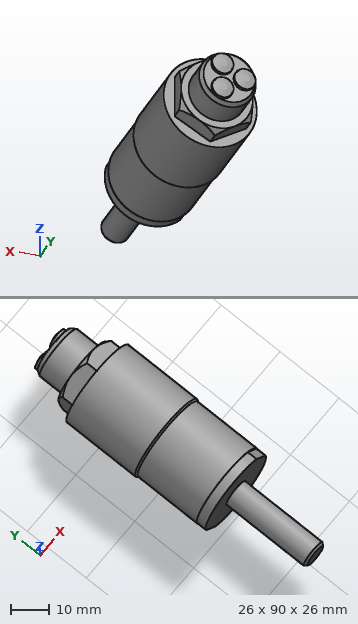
import cadquery as cq
import math

total_length = 90.0

rod_radius = 4.0
rod_length = 27.0
rod_chamfer = 0.7

cap_radius = 12.5
cap_length = 3.0
cap_flat_offset = 12.0
cap_flat_angle = 30.0

sleeve_radius = 12.6
barrel_diameter = 26.0
barrel_radius = barrel_diameter / 2
barrel_start = 50.6
barrel_end = 74.0
bevel_length = 0.5

hex_across_flats = 20.0
hex_end = 79.1

nose_radius = 7.9
nose_chamfer_length = 1.35
nose_chamfer_angle = 30.0

screw_count = 3
first_screw_angle = 180.0
screw_circle_radius = 4.1
screw_radius = 3.0
screw_height = 1.4
screw_bevel_height = 0.5
screw_top_radius = 1.1

nose_end = total_length - screw_height
cap_end = rod_length + cap_length


def revolve_about_axis(profile):
    """Turn a closed (radius, y) outline around the Y axis."""
    outline = cq.Workplane("XY").polyline(profile).close()
    return outline.revolve(360, (0, 0, 0), (0, 1, 0))


def make_rod():
    return revolve_about_axis([
        (0, 0),
        (rod_radius - rod_chamfer, 0),
        (rod_radius, rod_chamfer),
        (rod_radius, cap_end),
        (0, cap_end),
    ])


def make_cap():
    cap = revolve_about_axis([
        (0, rod_length),
        (cap_radius, rod_length),
        (cap_radius, cap_end),
        (0, cap_end),
    ])
    between_flats = (
        cq.Workplane("XY")
        .box(2 * cap_flat_offset, 2 * total_length, 4 * cap_radius)
        .rotate((0, 0, 0), (0, 1, 0), -cap_flat_angle)
    )
    return cap.intersect(between_flats)


def make_body():
    return revolve_about_axis([
        (0, cap_end),
        (sleeve_radius, cap_end),
        (sleeve_radius, barrel_start - bevel_length),
        (barrel_radius, barrel_start),
        (barrel_radius, barrel_end),
        (0, barrel_end),
    ])


def make_hex_collar():
    face_radius = hex_across_flats / 2
    corner_radius = face_radius / math.cos(math.pi / 6)
    corner_bevel = corner_radius - face_radius
    prism = (
        cq.Workplane("XZ", origin=(0, hex_end, 0))
        .polygon(6, 2 * corner_radius)
        .extrude(hex_end - barrel_end)
        .rotate((0, 0, 0), (0, 1, 0), 90)
    )
    trim = revolve_about_axis([
        (0, barrel_end),
        (corner_radius, barrel_end),
        (corner_radius, hex_end - corner_bevel),
        (face_radius, hex_end),
        (0, hex_end),
    ])
    return prism.intersect(trim)


def make_nose():
    chamfer_depth = nose_chamfer_length * math.tan(math.radians(nose_chamfer_angle))
    return revolve_about_axis([
        (0, hex_end),
        (nose_radius, hex_end),
        (nose_radius, nose_end - nose_chamfer_length),
        (nose_radius - chamfer_depth, nose_end),
        (0, nose_end),
    ])


def make_screw_head(angle):
    head = revolve_about_axis([
        (0, nose_end),
        (screw_radius, nose_end),
        (screw_radius, total_length - screw_bevel_height),
        (screw_top_radius, total_length),
        (0, total_length),
    ])
    x = screw_circle_radius * math.cos(math.radians(angle))
    z = screw_circle_radius * math.sin(math.radians(angle))
    return head.translate((x, 0, z))


result = make_body().union(make_cap()).union(make_rod()).union(make_hex_collar()).union(make_nose())
for i in range(screw_count):
    result = result.union(make_screw_head(first_screw_angle + i * 360 / screw_count))